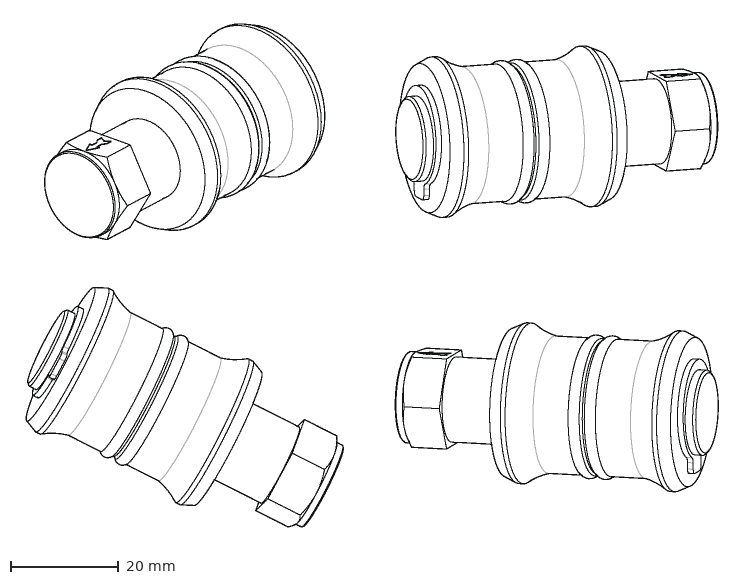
import cadquery as cq
import math

LENGTH = 58.0
REAR_Y = LENGTH / 2

PIN_RADIUS = 7.95
PIN_CHAMFER = 0.45

RIM_RADIUS = 14.995
RIM_END_RADIUS = 13.9
WAIST_RADIUS = 12.8
SLEEVE_START = 3.0
SLEEVE_END = 38.05
RIM_BEVEL = 2.4
RIM_LAND = 0.9
FLARE_LENGTH = 4.75
FLARE_HOLLOW = 0.3

BEAD_WIDTH = 2.15
BEAD_HEIGHT = 0.6
BEAD_GAP = 1.0
GROOVE_DEPTH = 0.35

HEX_START = 49.0
HEX_END = 56.55
HEX_APOTHEM = 8.5
HEX_CORNER_RADIUS = HEX_APOTHEM / math.cos(math.pi / 6)
HEX_CHAMFER_LENGTH = 0.75
COLLAR_CHAMFER = 0.25

RING_START = 1.9
RING_RADIUS = 9.3
RING_OFFSET_Z = 0.65
TAB_BOTTOM_Z = -11.3
TAB_WIDTH = 5.2
TAB_CORNER_RADIUS = 1.0
TAB_ROOT_RADIUS = 1.15

ARROW_TAIL = 50.0
ARROW_NOTCH = 50.75
ARROW_TAIL_SIDE_END = 51.3
ARROW_SHAFT_START = 52.15
ARROW_HEAD = 53.5
ARROW_TIP = 55.95
ARROW_HALF_WIDTH = 1.15
ARROW_SHAFT_HALF_WIDTH = 0.6
ENGRAVING_DEPTH = 0.1


def station_plane(station):
    """Plane across the axis at a station; its normal points to the front (-Y)."""
    return cq.Workplane("XZ", origin=(0, REAR_Y - station, 0))


def cylinder(start, end, radius):
    return station_plane(start).circle(radius).extrude(end - start)


def revolve_about_axis(profile):
    return profile.close().revolve(360, (0, 0, 0), (0, 1, 0))


def make_pin():
    return cylinder(0, HEX_END, PIN_RADIUS).faces(">Y").chamfer(PIN_CHAMFER)


def make_sleeve():
    middle = (SLEEVE_START + SLEEVE_END) / 2
    bead_inner = BEAD_GAP / 2
    bead_center = bead_inner + BEAD_WIDTH / 2
    bead_outer = bead_inner + BEAD_WIDTH
    half_length = (SLEEVE_END - SLEEVE_START) / 2
    land_outer = half_length - RIM_BEVEL
    land_inner = land_outer - RIM_LAND
    flare_end = land_inner - FLARE_LENGTH
    flare_middle = (land_inner + flare_end) / 2
    flare_mid_radius = (WAIST_RADIUS + RIM_RADIUS) / 2 - FLARE_HOLLOW
    crest_radius = WAIST_RADIUS + BEAD_HEIGHT
    half = revolve_about_axis(
        cq.Workplane("XY")
        .lineTo(WAIST_RADIUS - GROOVE_DEPTH, 0)
        .lineTo(WAIST_RADIUS, bead_inner)
        .threePointArc((crest_radius, bead_center), (WAIST_RADIUS, bead_outer))
        .lineTo(WAIST_RADIUS, flare_end)
        .threePointArc((flare_mid_radius, flare_middle), (RIM_RADIUS, land_inner))
        .lineTo(RIM_RADIUS, land_outer)
        .lineTo(RIM_END_RADIUS, half_length)
        .lineTo(0, half_length)
    )
    return half.union(half.mirror("XZ")).translate((0, REAR_Y - middle, 0))


def make_hexagon():
    prism = (
        station_plane(HEX_START)
        .polygon(6, 2 * HEX_CORNER_RADIUS)
        .extrude(HEX_END - HEX_START)
    )
    chamfer_start = HEX_END - HEX_CHAMFER_LENGTH
    chamfer_envelope = revolve_about_axis(
        cq.Workplane("XY")
        .moveTo(0, REAR_Y - HEX_START)
        .lineTo(HEX_CORNER_RADIUS, REAR_Y - HEX_START)
        .lineTo(HEX_CORNER_RADIUS, REAR_Y - chamfer_start)
        .lineTo(HEX_APOTHEM, REAR_Y - HEX_END)
        .lineTo(0, REAR_Y - HEX_END)
    )
    return prism.intersect(chamfer_envelope)


def make_collar():
    return cylinder(HEX_END, LENGTH, HEX_APOTHEM).faces("<Y").chamfer(COLLAR_CHAMFER)


def make_retaining_ring():
    thickness = SLEEVE_START - RING_START
    disc = cylinder(RING_START, SLEEVE_START, RING_RADIUS).translate((0, 0, RING_OFFSET_Z))
    tab_height = RING_OFFSET_Z - TAB_BOTTOM_Z
    tab = (
        station_plane(RING_START)
        .center(0, TAB_BOTTOM_Z + tab_height / 2)
        .rect(TAB_WIDTH, tab_height)
        .extrude(thickness)
        .edges("|Y and <Z")
        .fillet(TAB_CORNER_RADIUS)
    )
    half_width = TAB_WIDTH / 2
    root_z = RING_OFFSET_Z - math.sqrt(RING_RADIUS**2 - half_width**2)
    root_edges = cq.selectors.BoxSelector(
        (-half_width - 0.05, REAR_Y - LENGTH, root_z - 0.05),
        (half_width + 0.05, REAR_Y, root_z + 0.05),
    )
    return disc.union(tab).edges("|Y").edges(root_edges).fillet(TAB_ROOT_RADIUS)


def make_arrow():
    right_side = [
        (ARROW_HALF_WIDTH, ARROW_TAIL),
        (ARROW_HALF_WIDTH, ARROW_TAIL_SIDE_END),
        (ARROW_SHAFT_HALF_WIDTH, ARROW_SHAFT_START),
        (ARROW_SHAFT_HALF_WIDTH, ARROW_HEAD),
        (ARROW_HALF_WIDTH, ARROW_HEAD),
    ]
    left_side = [(-x, station) for x, station in reversed(right_side)]
    outline = [(0, ARROW_NOTCH)] + right_side + [(0, ARROW_TIP)] + left_side
    return (
        cq.Workplane("XY", origin=(0, 0, HEX_APOTHEM))
        .polyline([(x, REAR_Y - station) for x, station in outline])
        .close()
        .extrude(-ENGRAVING_DEPTH)
    )


result = (
    make_pin()
    .union(make_sleeve())
    .union(make_hexagon())
    .union(make_collar())
    .union(make_retaining_ring())
    .cut(make_arrow())
)